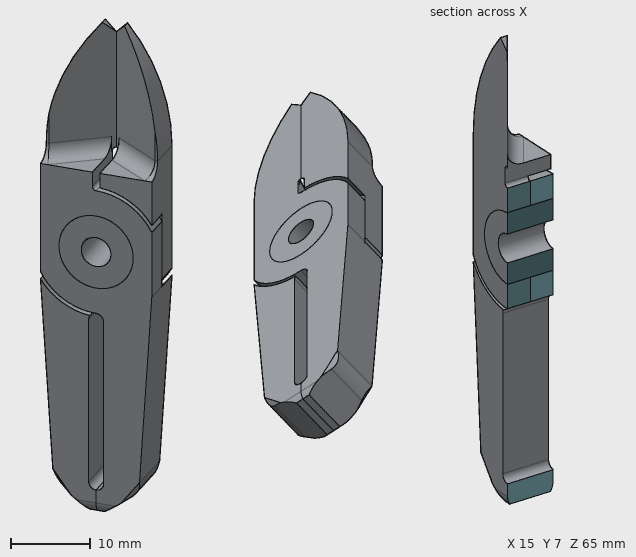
import cadquery as cq
import math


thickness = 7.0
half_width = 7.5
jaw_tip_height = 29.0
handle_end_height = -36.0
front_y = -thickness / 2
back_y = thickness / 2
margin = 5.0

hub_radius = 8.5
hub_gap = 0.5
hub_clear_radius = hub_radius + hub_gap
bush_radius = 5.0
bush_bore_radius = 2.0

jaw_arc_start_height = 13.0
tip_half_gap = 1.5
bevel_angle = 35.0
jaw_depth = 5.0
cove_radius = 2.0

taper_start_height = -5.0
taper_angle = 3.65
end_slope_angle = 36.0
end_half_width = 1.0
shoulder_radius = 3.2
end_round_radius = 2.0
end_round_height = 1.2
chamfer_top_height = -31.0
chamfer_end_x = 3.3

upper_slot_width = 1.0
upper_slot_bottom = hub_radius
upper_slot_top = 11.5
lower_slot_width = 2.0
lower_slot_bottom = -33.0
lower_slot_top = -hub_radius

taper_slope = math.tan(math.radians(taper_angle))
end_slope = math.tan(math.radians(end_slope_angle))


def taper_x(height):
    """Half width of the tapered handle at a given height."""
    return half_width - (taper_start_height - height) * taper_slope


def end_slope_height(x):
    """Height of the sloped handle end at a given distance from the centre line."""
    return handle_end_height + (x - end_half_width) * end_slope


corner_x = (
    half_width - (taper_start_height - handle_end_height + end_half_width * end_slope) * taper_slope
) / (1 - end_slope * taper_slope)
corner_z = end_slope_height(corner_x)


def prism(sketch, y_from, y_to):
    """Extrude an XZ sketch between two Y values."""
    return sketch.extrude(y_to - y_from).translate((0, y_to, 0))


def disc(radius, y_from, y_to):
    return prism(cq.Workplane("XZ").circle(radius), y_from, y_to)


def slot(width, bottom, top):
    """Round-ended slot along Z, through the whole thickness."""
    sketch = cq.Workplane("XZ").center(0, (bottom + top) / 2).slot2D(top - bottom, width, 90)
    return prism(sketch, front_y, back_y)


def side_blank(side):
    """Full-length, full-thickness blank of one side of the centre line (side is +1 or -1)."""
    arc_drop = half_width - tip_half_gap
    arc_rise = jaw_tip_height - jaw_arc_start_height
    arc_radius = (arc_drop**2 + arc_rise**2) / (2 * arc_drop)
    half_sweep = math.asin(arc_rise / arc_radius) / 2
    arc_mid_x = half_width - arc_radius * (1 - math.cos(half_sweep))
    arc_mid_z = jaw_arc_start_height + arc_radius * math.sin(half_sweep)

    sketch = (
        cq.Workplane("XZ")
        .moveTo(0, handle_end_height)
        .lineTo(side * end_half_width, handle_end_height)
        .lineTo(side * corner_x, corner_z)
        .lineTo(side * half_width, taper_start_height)
        .lineTo(side * half_width, jaw_arc_start_height)
        .threePointArc((side * arc_mid_x, arc_mid_z), (side * tip_half_gap, jaw_tip_height))
        .lineTo(0, jaw_tip_height - tip_half_gap)
        .close()
    )
    shoulder = cq.selectors.NearestToPointSelector((side * corner_x, 0, corner_z))
    return prism(sketch, front_y, back_y).edges(shoulder).fillet(shoulder_radius)


def cove_cutter(plane, start, length):
    """Clear everything outside a face down to a shelf, with a cove between face and shelf.

    The plane's X axis is the outward normal of the face and its Y axis is +Z.
    """
    shelf_height = jaw_arc_start_height - cove_radius
    reach = thickness + half_width
    top = jaw_tip_height + margin
    middle = cove_radius * math.sqrt(0.5)
    return (
        cq.Workplane(plane)
        .workplane(offset=start)
        .moveTo(0, top)
        .lineTo(0, jaw_arc_start_height)
        .threePointArc(
            (cove_radius - middle, jaw_arc_start_height - middle),
            (cove_radius, shelf_height),
        )
        .lineTo(reach, shelf_height)
        .lineTo(reach, top)
        .close()
        .extrude(length)
    )


def shape_jaw(blank, side):
    """Cut the bevelled jaw face, its flat rim and the coves below them."""
    angle = math.radians(bevel_angle)
    reach = 2 * half_width

    bevel_normal = cq.Vector(-side * math.sin(angle), -math.cos(angle), 0)
    bevel_plane = cq.Plane((0, back_y, 0), bevel_normal, bevel_normal.cross(cq.Vector(0, 0, 1)))
    bevel = cove_cutter(bevel_plane, -reach, 2 * reach)

    rim_plane = cq.Plane((0, back_y - jaw_depth, 0), (0, -1, 0), (-1, 0, 0))
    rim = cove_cutter(rim_plane, -reach, 2 * reach)

    slot_half = upper_slot_width / 2
    strip_bottom = upper_slot_top - slot_half
    strip = (
        cq.Workplane("XY", origin=(0, 0, strip_bottom))
        .moveTo(0, back_y)
        .lineTo(side * slot_half, back_y - slot_half * math.tan(angle))
        .lineTo(side * slot_half, front_y)
        .lineTo(0, front_y)
        .close()
        .extrude(jaw_arc_start_height - strip_bottom)
    )
    return blank.cut(bevel).cut(rim).cut(strip)


def shape_handle(blank, side):
    """Chamfer the handle shoulder and round its end, on the front and the back."""
    chamfer_top_x = taper_x(chamfer_top_height)
    along = cq.Vector(
        side * (chamfer_end_x - chamfer_top_x),
        0,
        end_slope_height(chamfer_end_x) - chamfer_top_height,
    ).normalized()
    outward = cq.Vector(-side * along.z, 0, side * along.x)
    chamfer_start = cq.Vector(side * chamfer_top_x, 0, chamfer_top_height)

    sweep = math.asin(end_round_height / end_round_radius)
    round_start = handle_end_height + end_round_height
    mid_inset = end_round_radius * (1 - math.cos(sweep / 2))
    mid_height = round_start - end_round_radius * math.sin(sweep / 2)
    end_inset = end_round_radius * (1 - math.cos(sweep))

    for face in (-1, 1):
        face_y = face * thickness / 2
        plane = cq.Plane(chamfer_start + cq.Vector(0, face_y, 0), outward, along)
        inward = -face * plane.yDir.y
        chamfer = (
            cq.Workplane(plane)
            .workplane(offset=-margin)
            .polyline([(0, 0), (margin, 0), (margin, inward * margin)])
            .close()
            .extrude(4 * margin)
        )
        end_round = (
            cq.Workplane("YZ", origin=(-half_width, 0, 0))
            .moveTo(face_y, round_start)
            .threePointArc(
                (face_y - face * mid_inset, mid_height),
                (face_y - face * end_inset, handle_end_height),
            )
            .lineTo(face_y, handle_end_height)
            .close()
            .extrude(2 * half_width)
        )
        blank = blank.cut(chamfer).cut(end_round)
    return blank


def nipper_half(jaw_side, hub_from, hub_to):
    """One half: its jaw, the opposite handle and a half-thickness hub between hub_from and hub_to."""
    handle_side = -jaw_side
    span = 2 * jaw_tip_height
    above = cq.Workplane("XY").box(span, span, span, centered=(True, True, False))
    below = above.translate((0, 0, -span))

    jaw = shape_jaw(side_blank(jaw_side), jaw_side).intersect(above)
    handle = shape_handle(side_blank(handle_side), handle_side).intersect(below)

    room = disc(hub_clear_radius, -hub_to, -hub_from)
    hub_width = cq.Workplane("XY").box(2 * half_width, span, span)
    hub = disc(hub_radius, hub_from, hub_to).intersect(hub_width)

    return (
        jaw.cut(room)
        .union(hub)
        .union(handle.cut(room))
        .cut(disc(bush_radius, front_y, back_y))
        .cut(slot(upper_slot_width, upper_slot_bottom, upper_slot_top))
        .cut(slot(lower_slot_width, lower_slot_bottom, lower_slot_top))
    )


def pivot_bush():
    sketch = cq.Workplane("XZ").circle(bush_radius).circle(bush_bore_radius)
    return prism(sketch, front_y, back_y)


front_hub_half = nipper_half(-1, front_y, 0)
back_hub_half = nipper_half(1, 0, back_y)
bush = pivot_bush()

result = cq.Compound.makeCompound([front_hub_half.solids().val(), back_hub_half.solids().val(), bush.val()])